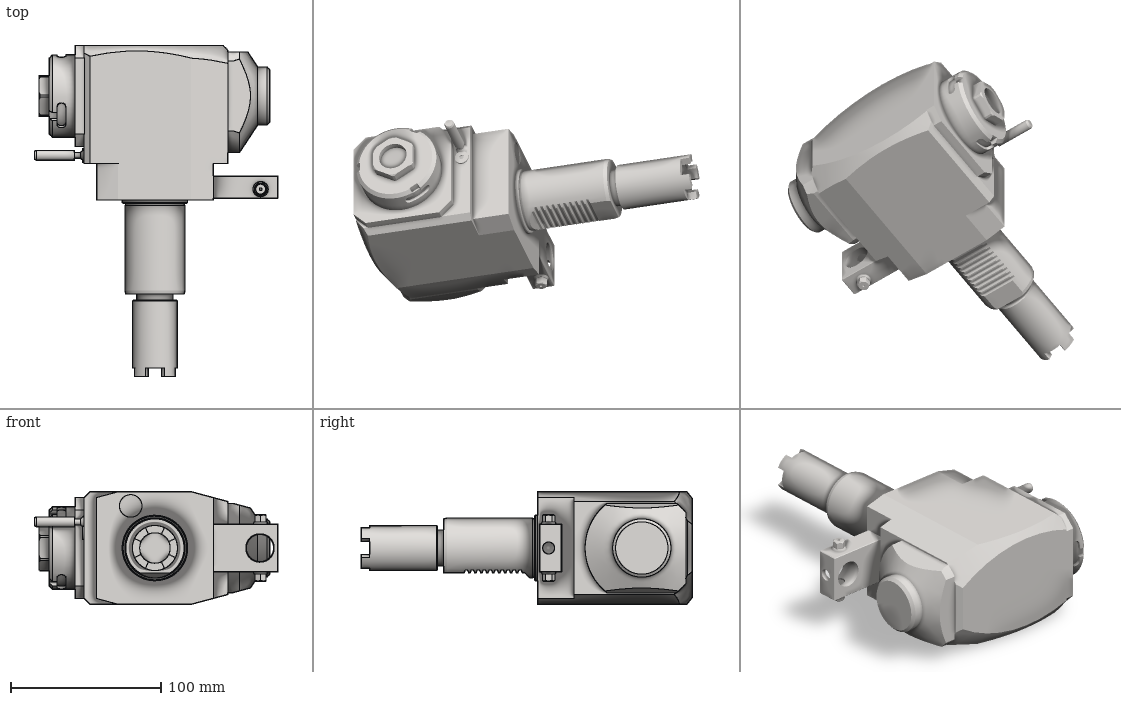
import cadquery as cq
import math


half_height = 37.5
housing_depth = 103.0
step_depth = 24.3
block_half_width = 38.8
housing_left = -47.2
housing_right = 48.5
taper_start = 24.3
taper_angle = 15.0
left_chamfer = 4.0
rear_corner_chamfer = 3.3

relief_axis_x = -12.1
relief_radius = 103.7
relief_top = 32.9
relief_slope = 0.81
relief_run = 26.5

spindle_y = 69.3
plate_thickness = 6.0
plate_half = housing_depth - spindle_y
plate_chamfer = 8.4
collar_radius = 27.5
collar_length = 17.2
collar_chamfer = 2.2
collar_slot_count = 3
collar_slot_width = 5.7
collar_slot_center = 8.2
collar_slot_half_angle = 20.0
collar_slot_floor = 25.5
collar_notch_width = 6.2
collar_notch_floor = 24.5
nut_across_flats = 27.1
nut_corner_diameter = 30.5
nut_length = 6.8
nut_chamfer = 0.9
nut_bore = 9.5
nut_bore_depth = 4.9

cap_radius = 37.7
cap_rim_end = 56.2
cap_cone_end = 68.4
cap_end = 76.5
cap_end_radius = 19.5
cap_chamfer = 2.0
cap_flat_y = 98.5
cap_flat_z = 29.8
cap_slope_start = 51.8

flange_radius = 21.8
flange_length = 2.2
flange_chamfer = 0.7
shank_radius = 20.0
shank_end = 62.6
shank_chamfer_length = 2.5
shank_chamfer_height = 0.7
relief_groove_end = 3.5
relief_groove_radius = 19.6
neck_radius = 12.1
coupling_start = 66.5
coupling_radius = 15.0
coupling_chamfer = 0.7
shank_total = 220.5 - housing_depth
dog_bore = 10.1
dog_bore_floor = 111.2
dog_slot_floor = 111.8
dog_slot_half_angle = 25.0
dog_count = 4

rack_z = -16.5
rack_start = 8.5
tooth_pitch = 4.0
tooth_count = 10
first_tooth = 11.7
tooth_depth = 1.8
tooth_half_base = 1.5
tooth_half_top = 0.77

plug_x = -16.0
plug_z = 28.0
plug_radius = 7.5
plug_depth = 0.7

arm_end = 82.0
arm_front = 1.0
arm_thickness = 15.0
arm_half_height = 16.0
arm_chamfer = 0.5
arm_hole_x = 70.0
arm_hole_radius = 9.0
screw_x = 70.4
screw_y = 7.3
screw_seat_radius = 5.0
screw_seat_height = 1.3
screw_across_flats = 7.3
screw_top = 22.3
screw_chamfer = 0.9
screw_hole_radius = 0.9
screw_hole_depth = 2.6
cross_bore_radius = 4.0
cross_bore_half_length = 9.7

pin_y = 29.8
pin_z = 17.5
pin_radius = 3.3
pin_tip = -80.3
pin_tip_radius = 2.6
pin_tip_length = 1.3
pin_back = -53.5
pin_neck_radius = 2.0
pin_foot_radius = 4.0
pin_foot_length = 2.5
button_z = 10.4
button_radius = 4.6
button_height = 1.0
button_hole = 1.5
button_hole_depth = 0.7

OVERLAP = 2.2


def box(x0, x1, y0, y1, z0, z1):
    return cq.Workplane("XY").box(x1 - x0, y1 - y0, z1 - z0, centered=False).translate((x0, y0, z0))


def cylinder_x(x0, x1, y, z, radius):
    return cq.Workplane("YZ", origin=(x0, y, z)).circle(radius).extrude(x1 - x0)


def turned_x(points, y, z):
    """Solid turned about the X-parallel axis through (y, z); points are (x, radius)."""
    profile = cq.Workplane("XY").polyline(points).close()
    return profile.revolve(360, (0, 0, 0), (1, 0, 0)).translate((0, y, z))


def both_sides(half_outline):
    """Mirror an (x, z) outline across z = 0."""
    return half_outline + [(x, -z) for x, z in reversed(half_outline)]


def taper_height(x):
    return half_height - (abs(x) - taper_start) * math.tan(math.radians(taper_angle))


def prism(half_outline, y0, y1):
    plane = cq.Workplane("XZ", origin=(0, y0, 0))
    return plane.polyline(both_sides(half_outline)).close().extrude(y0 - y1)


def housing():
    front = prism(
        [
            (-block_half_width, taper_height(block_half_width)),
            (-taper_start, half_height),
            (taper_start, half_height),
            (block_half_width, taper_height(block_half_width)),
        ],
        0,
        step_depth + OVERLAP,
    )
    main = prism(
        [
            (housing_left, half_height - left_chamfer),
            (housing_left + left_chamfer, half_height),
            (taper_start, half_height),
            (housing_right, taper_height(housing_right)),
        ],
        step_depth,
        housing_depth,
    )
    main = main.edges("|Z and >X and >Y").chamfer(rear_corner_chamfer)
    for side in (1, -1):
        main = main.intersect(relief_cone(side))
    plug = cq.Workplane("XZ", origin=(plug_x, 0, plug_z)).circle(plug_radius).extrude(-plug_depth)
    return front.union(main).cut(plug)


def relief_cone(side):
    """Large cone about a Y-parallel axis that trims the rear top (1) or bottom (-1) edge."""
    wide_radius = relief_radius + relief_run / relief_slope
    profile = [
        (0, 0),
        (wide_radius, 0),
        (wide_radius, housing_depth - relief_run),
        (relief_radius, housing_depth),
        (0, housing_depth),
    ]
    cone = cq.Workplane("XY").polyline(profile).close().revolve(360, (0, 0, 0), (0, 1, 0))
    return cone.translate((relief_axis_x, 0, side * (relief_top - relief_radius)))


def collar_face_x():
    return housing_left - plate_thickness - collar_length


def clamp_collar():
    face = collar_face_x()
    collar = turned_x(
        [
            (face, 0),
            (face, collar_radius - collar_chamfer),
            (face + collar_chamfer, collar_radius),
            (housing_left, collar_radius),
            (housing_left, 0),
        ],
        spindle_y,
        0,
    )
    for index in range(collar_slot_count):
        collar = collar.cut(collar_slot(face, 90 + index * 360 / collar_slot_count))
    return collar


def collar_slot(face, angle):
    """Curved spanner slot with round ends, opened to the face by a straight notch."""
    slot_x = face + collar_slot_center
    half_width = collar_slot_width / 2
    reach = collar_radius + OVERLAP
    end_angle = collar_slot_half_angle - math.degrees(half_width / collar_radius)
    spread = reach * math.tan(math.radians(end_angle))
    sector = cq.Workplane("YZ", origin=(slot_x - half_width, 0, 0))
    cutter = sector.polyline([(0, 0), (-spread, reach), (spread, reach)]).close().extrude(collar_slot_width)
    round_end = cq.Workplane("XY", origin=(slot_x, 0, 0)).circle(half_width).extrude(reach)
    for turn in (end_angle, -end_angle):
        cutter = cutter.union(round_end.rotate((0, 0, 0), (1, 0, 0), turn))
    core = cylinder_x(face, face + collar_length, 0, 0, collar_slot_floor)
    cutter = cutter.cut(core)
    half_notch = collar_notch_width / 2
    notch = box(face - OVERLAP, slot_x - half_width, -half_notch, half_notch, collar_notch_floor, reach)
    cutter = cutter.union(notch)
    return cutter.rotate((0, 0, 0), (1, 0, 0), angle - 180).translate((0, spindle_y, 0))


def draw_nut():
    face = collar_face_x() - nut_length
    back = collar_face_x() + OVERLAP
    corner = nut_across_flats / math.cos(math.radians(30))
    hexagon = cq.Workplane("YZ", origin=(face, spindle_y, 0)).transformed(rotate=(0, 0, 90))
    hexagon = hexagon.polygon(6, corner).extrude(back - face)
    rounding = turned_x(
        [
            (face, 0),
            (face, nut_corner_diameter / 2 - nut_chamfer),
            (face + nut_chamfer, nut_corner_diameter / 2),
            (back, nut_corner_diameter / 2),
            (back, 0),
        ],
        spindle_y,
        0,
    )
    bore = cylinder_x(face, face + nut_bore_depth, spindle_y, 0, nut_bore)
    return hexagon.intersect(rounding).cut(bore)


def spindle_plate():
    plate = box(
        housing_left - plate_thickness,
        housing_left + OVERLAP,
        spindle_y - plate_half,
        spindle_y + plate_half,
        -plate_half,
        plate_half,
    )
    return plate.edges("|X").chamfer(plate_chamfer)


def bearing_cap():
    cap = turned_x(
        [
            (housing_right, 0),
            (housing_right, cap_radius),
            (cap_rim_end, cap_radius),
            (cap_cone_end, cap_end_radius),
            (cap_end - cap_chamfer, cap_end_radius),
            (cap_end, cap_end_radius - cap_chamfer),
            (cap_end, 0),
        ],
        spindle_y,
        0,
    )
    slope_end_z = cap_flat_z - (cap_end - cap_slope_start) * math.tan(math.radians(taper_angle))
    envelope = prism(
        [
            (housing_right, cap_flat_z),
            (cap_slope_start, cap_flat_z),
            (cap_end, slope_end_z),
        ],
        spindle_y - cap_radius,
        cap_flat_y,
    )
    return cap.intersect(envelope)


def shank():
    profile = [
        (0, OVERLAP),
        (flange_radius, OVERLAP),
        (flange_radius, -flange_length + flange_chamfer),
        (flange_radius - flange_chamfer, -flange_length),
        (relief_groove_radius, -flange_length),
        (relief_groove_radius, -relief_groove_end),
        (shank_radius, -relief_groove_end),
        (shank_radius, -shank_end + shank_chamfer_length),
        (shank_radius - shank_chamfer_height, -shank_end),
        (neck_radius, -shank_end),
        (neck_radius, -coupling_start),
        (coupling_radius - coupling_chamfer, -coupling_start),
        (coupling_radius, -coupling_start - coupling_chamfer),
        (coupling_radius, -shank_total),
        (dog_bore, -shank_total),
        (dog_bore, -dog_bore_floor),
        (0, -dog_bore_floor),
    ]
    body = cq.Workplane("XY").polyline(profile).close().revolve(360, (0, 0, 0), (0, 1, 0))
    return body.cut(rack()).cut(dog_slots())


def rack():
    """Flat with a run-out ramp and a row of tooth gaps."""
    floor = -shank_radius - OVERLAP
    points = [
        (-rack_start + rack_z - floor, floor),
        (-rack_start, rack_z),
        (-shank_end, rack_z),
        (-shank_end, floor),
    ]
    plane = cq.Workplane("YZ", origin=(-shank_radius, 0, 0))
    cutter = plane.polyline(points).close().extrude(2 * shank_radius)
    for index in range(tooth_count):
        y = -first_tooth - index * tooth_pitch
        gap = [
            (y - tooth_half_base, rack_z),
            (y - tooth_half_top, rack_z + tooth_depth),
            (y + tooth_half_top, rack_z + tooth_depth),
            (y + tooth_half_base, rack_z),
        ]
        cutter = cutter.union(plane.polyline(gap).close().extrude(2 * shank_radius))
    return cutter


def dog_slots():
    reach = 2 * coupling_radius
    spread = reach * math.tan(math.radians(dog_slot_half_angle))
    plane = cq.Workplane("XZ", origin=(0, -dog_slot_floor, 0))
    wedge = plane.polyline([(0, 0), (-spread, reach), (spread, reach)]).close()
    wedge = wedge.extrude(shank_total - dog_slot_floor)
    cutter = wedge
    for index in range(1, dog_count):
        cutter = cutter.union(wedge.rotate((0, 0, 0), (0, 1, 0), index * 360 / dog_count))
    return cutter


def side_arm():
    arm = box(
        block_half_width - OVERLAP,
        arm_end,
        arm_front,
        arm_front + arm_thickness,
        -arm_half_height,
        arm_half_height,
    )
    arm = arm.edges("|X or >X").chamfer(arm_chamfer)
    hole = cq.Workplane("XZ", origin=(arm_hole_x, 0, 0)).circle(arm_hole_radius)
    arm = arm.cut(hole.extrude(-arm_front - arm_thickness))
    arm = arm.faces("<Y").edges("%CIRCLE").chamfer(arm_chamfer)
    cross_bore = cq.Workplane("XY", origin=(screw_x, screw_y, 0)).circle(cross_bore_radius)
    arm = arm.cut(cross_bore.extrude(cross_bore_half_length, both=True))
    arm = arm.cut(cylinder_x(arm_hole_x, arm_end, screw_y, 0, cross_bore_radius))
    screw = clamp_screw()
    return arm.union(screw).union(screw.mirror("XY"))


def clamp_screw():
    """Hexagon head on a conical seat, with a small hole in its end."""
    corner_radius = screw_across_flats / 2 / math.cos(math.radians(30))
    root = (arm_half_height + cross_bore_half_length) / 2
    profile = [
        (0, root),
        (screw_seat_radius, root),
        (screw_seat_radius, arm_half_height),
        (corner_radius, arm_half_height + screw_seat_height),
        (corner_radius, screw_top - screw_chamfer),
        (corner_radius - screw_chamfer, screw_top),
        (screw_hole_radius, screw_top),
        (screw_hole_radius, screw_top - screw_hole_depth),
        (0, screw_top - screw_hole_depth),
    ]
    turned = cq.Workplane("XZ").polyline(profile).close().revolve(360, (0, 0, 0), (0, 1, 0))
    head = cq.Workplane("XY", origin=(0, 0, root)).transformed(rotate=(0, 0, 90))
    head = head.polygon(6, 2 * corner_radius).extrude(screw_top - root)
    seat = cq.Workplane("XY", origin=(0, 0, root)).circle(screw_seat_radius)
    seat = seat.extrude(arm_half_height + screw_seat_height - root)
    return turned.intersect(head.union(seat)).translate((screw_x, screw_y, 0))


def coolant_pin():
    return turned_x(
        [
            (pin_tip, 0),
            (pin_tip, pin_tip_radius),
            (pin_tip + pin_tip_length, pin_radius),
            (pin_back, pin_radius),
            (pin_back, pin_neck_radius),
            (housing_left - pin_foot_length, pin_neck_radius),
            (housing_left, pin_foot_radius),
            (housing_left + OVERLAP, pin_foot_radius),
            (housing_left + OVERLAP, 0),
        ],
        pin_y,
        pin_z,
    )


def button():
    face = housing_left - button_height
    disc = cylinder_x(face, housing_left + OVERLAP, pin_y, button_z, button_radius)
    return disc.cut(cylinder_x(face, face + button_hole_depth, pin_y, button_z, button_hole))


result = housing()
for piece in (
    spindle_plate(),
    clamp_collar(),
    draw_nut(),
    bearing_cap(),
    shank(),
    side_arm(),
    coolant_pin(),
    button(),
):
    result = result.union(piece)